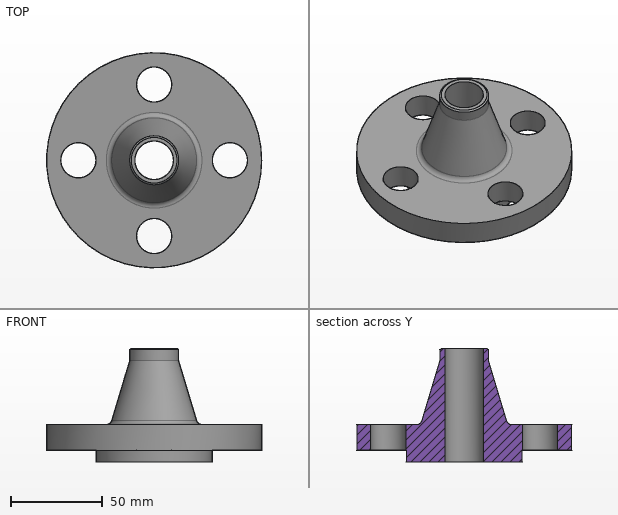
import cadquery as cq

flange_diameter = 117.3
flange_thickness = 14.2
raised_face_diameter = 63.5
raised_face_height = 6.3
total_height = 62.0

hub_base_diameter = 47.6
hub_fillet_radius = 3.0
neck_diameter = 26.7
neck_length = 6.7
bore_diameter = 20.9
weld_bevel_width = 0.9
weld_bevel_height = 0.7

bolt_circle_diameter = 82.6
bolt_hole_diameter = 19.0
bolt_hole_count = 4

flange_top = raised_face_height + flange_thickness
cone_top = total_height - neck_length


def make_body():
    """Raised face, flange, cone and bevelled neck, revolved about Z as one solid."""
    neck_radius = neck_diameter / 2
    return (
        cq.Workplane("XZ")
        .moveTo(0, 0)
        .lineTo(raised_face_diameter / 2, 0)
        .lineTo(raised_face_diameter / 2, raised_face_height)
        .lineTo(flange_diameter / 2, raised_face_height)
        .lineTo(flange_diameter / 2, flange_top)
        .lineTo(hub_base_diameter / 2, flange_top)
        .lineTo(neck_radius, cone_top)
        .lineTo(neck_radius, total_height - weld_bevel_height)
        .lineTo(neck_radius - weld_bevel_width, total_height)
        .lineTo(0, total_height)
        .close()
        .revolve(360, (0, 0, 0), (0, 1, 0))
    )


def round_hub_base(body):
    """Fillet the circle where the cone meets the flange."""
    reach = hub_base_diameter / 2 + hub_fillet_radius
    hub_base_edge = cq.selectors.BoxSelector(
        (-reach, -reach, flange_top - hub_fillet_radius),
        (reach, reach, flange_top + hub_fillet_radius),
        boundingbox=True,
    )
    return body.edges(hub_base_edge).fillet(hub_fillet_radius)


def make_bore():
    return cq.Workplane("XY").circle(bore_diameter / 2).extrude(total_height)


def make_bolt_holes():
    return (
        cq.Workplane("XY")
        .polarArray(bolt_circle_diameter / 2, 0, 360, bolt_hole_count)
        .circle(bolt_hole_diameter / 2)
        .extrude(flange_top)
    )


result = round_hub_base(make_body()).cut(make_bore()).cut(make_bolt_holes())